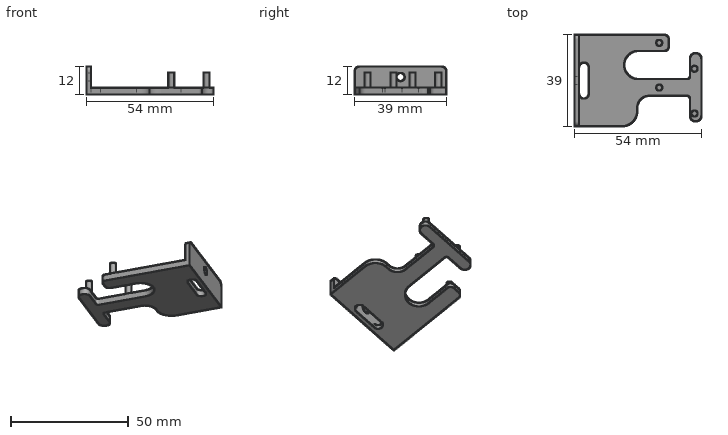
import cadquery as cq

length = 54.0
width = 39.0
wall_height = 12.0
mid_y = width / 2

plate_thickness = 3.0
wall_thickness = 2.0
corner_radius = 2.0
wall_hole_diameter = 3.4
wall_hole_z = 7.5

slot_length = 15.25
slot_width = 4.0

tab_end_x = 40.1
tab_bottom_y = 32.0
notch_left_x = 21.15

arm_top_y = 20.2
arm_bottom_y = 12.95
crossbar_width = 5.0
crossbar_bottom_y = 2.1
crossbar_top_y = 31.2
crossbar_fillet = 1.0
crossbar_left_x = length - crossbar_width

body_right_x = 26.75
body_corner_radius = 6.6
arm_root_radius = 5.0

pin_diameter = 2.6
pin_top_z = 9.45
pin_positions = [(36.0, 35.55), (36.0, 16.5), (51.0, 24.5), (51.0, 5.5)]


def fillet_upright_edge(body, x, y, radius):
    """Round the vertical plate edge at (x, y)."""
    corner = (x, y, plate_thickness / 2)
    return body.edges(cq.selectors.NearestToPointSelector(corner)).fillet(radius)


def upright_slot(center_x, y_min, y_max, across):
    """Round-ended solid of plate thickness, running along Y."""
    return (
        cq.Workplane("XY")
        .center(center_x, (y_min + y_max) / 2)
        .slot2D(y_max - y_min, across, 90)
        .extrude(plate_thickness)
    )


def make_plate():
    crossbar_center_x = length - crossbar_width / 2
    notch_radius = (tab_bottom_y - arm_top_y) / 2
    notch_straight_x = notch_left_x + notch_radius
    plate = (
        cq.Workplane("XY")
        .moveTo(0, 0)
        .lineTo(body_right_x, 0)
        .lineTo(body_right_x, arm_bottom_y)
        .lineTo(crossbar_center_x, arm_bottom_y)
        .lineTo(crossbar_center_x, arm_top_y)
        .lineTo(notch_straight_x, arm_top_y)
        .threePointArc((notch_left_x, arm_top_y + notch_radius), (notch_straight_x, tab_bottom_y))
        .lineTo(tab_end_x, tab_bottom_y)
        .lineTo(tab_end_x, width)
        .lineTo(0, width)
        .close()
        .extrude(plate_thickness)
    )
    crossbar = upright_slot(crossbar_center_x, crossbar_bottom_y, crossbar_top_y, crossbar_width)
    plate = plate.union(crossbar)

    rounded_corners = [
        (body_right_x, 0, body_corner_radius),
        (body_right_x, arm_bottom_y, arm_root_radius),
        (crossbar_left_x, arm_bottom_y, crossbar_fillet),
        (crossbar_left_x, arm_top_y, crossbar_fillet),
        (tab_end_x, tab_bottom_y, corner_radius),
        (tab_end_x, width, corner_radius),
    ]
    for x, y, radius in rounded_corners:
        plate = fillet_upright_edge(plate, x, y, radius)

    slot = upright_slot(
        wall_thickness + slot_width / 2,
        mid_y - slot_length / 2,
        mid_y + slot_length / 2,
        slot_width,
    )
    return plate.cut(slot)


def make_wall():
    wall = cq.Workplane("XY").box(wall_thickness, width, wall_height, centered=False)
    wall = wall.edges("|X and >Z").fillet(corner_radius)
    hole = (
        cq.Workplane("YZ")
        .center(mid_y, wall_hole_z)
        .circle(wall_hole_diameter / 2)
        .extrude(wall_thickness)
    )
    return wall.cut(hole)


def make_pins():
    return (
        cq.Workplane("XY")
        .pushPoints(pin_positions)
        .circle(pin_diameter / 2)
        .extrude(pin_top_z)
    )


result = make_plate().union(make_wall()).union(make_pins())